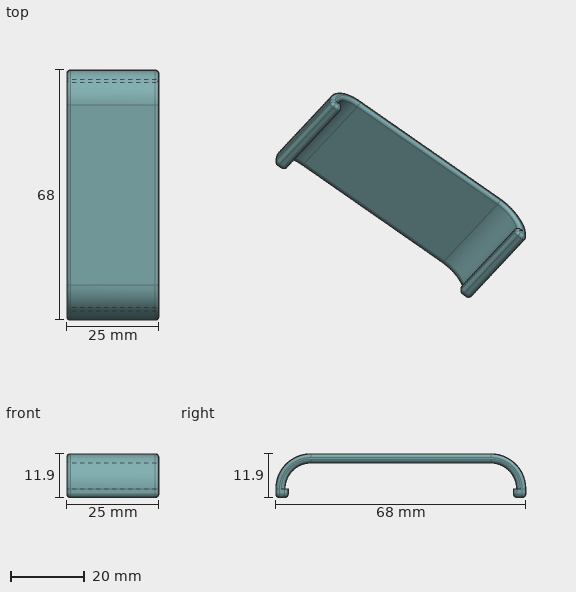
import cadquery as cq

length = 68.0
width = 25.0
height = 11.9

thickness = 2.5
outer_bend_radius = 9.5
inner_bend_radius = outer_bend_radius - thickness
flat_end = length / 2 - outer_bend_radius

foot_depth = 3.4
foot_height = height - outer_bend_radius

edge_radius = 1.0


def make_arch(bend_radius):
    """Solid arch standing at foot-top level: a flat top between two quarter-round shoulders."""
    half_span = flat_end + bend_radius
    top = foot_height + bend_radius
    return (
        cq.Workplane("YZ")
        .workplane(offset=-width / 2)
        .moveTo(flat_end, top)
        .lineTo(-flat_end, top)
        .tangentArcPoint((-half_span, foot_height), relative=False)
        .lineTo(half_span, foot_height)
        .radiusArc((flat_end, top), -bend_radius)
        .close()
        .extrude(width)
    )


def make_strip():
    """Bent strip of even thickness, rounded along its long edges."""
    strip = make_arch(outer_bend_radius).cut(make_arch(inner_bend_radius))
    return strip.faces("<X or >X").edges("not(<Z)").fillet(edge_radius)


def make_foot(side):
    """Foot bar with rounded upright and bottom edges and a sharp top; side is -1 or 1 along Y."""
    return (
        cq.Workplane("XY")
        .center(0, side * (length - foot_depth) / 2)
        .rect(width, foot_depth)
        .extrude(foot_height)
        .edges("|Z or <Z")
        .fillet(edge_radius)
    )


result = make_strip()
for side in (-1, 1):
    result = result.union(make_foot(side))